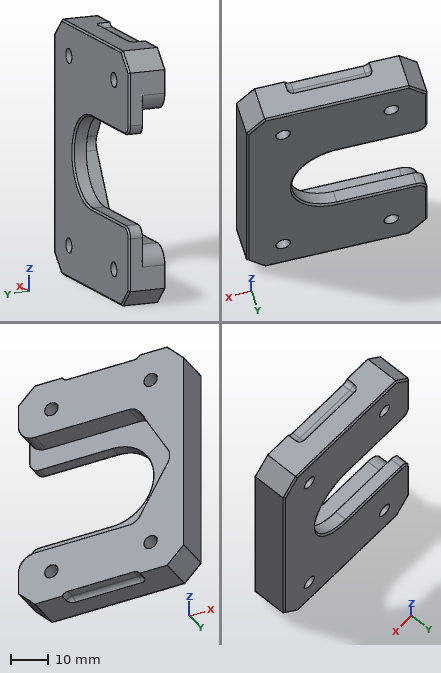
import cadquery as cq
import math

LENGTH = 50.0
THICKNESS = 10.5
HEIGHT = 70.0
CORNER_CHAMFER = 5.0
BACK_CHAMFER = 0.5

SLOT_RADIUS = 12.5
SLOT_MOUTH_FILLET = 3.0

RECESS_DEPTH = 6.5
HEX_APOTHEM = 18.55
HEX_CIRCUMRADIUS = HEX_APOTHEM / math.cos(math.radians(30))
HEX_FILLET = 4.0
RECESS_MOUTH_FILLET = 5.0

HOLE_DIAMETER = 4.0
HOLE_SPACING_X = 30.0
HOLE_SPACING_Z = 52.0

NOTCH_LENGTH = 24.0
NOTCH_REACH = 4.5
NOTCH_DEPTH = 1.0
NOTCH_FILLET = 2.0

FRONT_Y = -THICKNESS / 2
LEFT_X = -LENGTH / 2


def front_sketch():
    """XZ sketch plane on the front face; negative extrusion goes into the plate."""
    return cq.Workplane("XZ", origin=(0, FRONT_Y, 0))


def make_plate():
    plate = cq.Workplane("XY").box(LENGTH, THICKNESS, HEIGHT)
    return plate.edges("|Y").chamfer(CORNER_CHAMFER)


def mouth_relief(half_height, radius):
    """Outline of the corner that a rounded mouth edge removes at the upper side of an opening."""
    return (
        front_sketch()
        .moveTo(LEFT_X, half_height)
        .lineTo(LEFT_X, half_height + radius)
        .radiusArc((LEFT_X + radius, half_height), -radius)
        .close()
    )


def cut_opening(body, opening, half_height, mouth_fillet, depth):
    """Cut an opening and round both of its edges at the -X side."""
    relief = mouth_relief(half_height, mouth_fillet).extrude(-depth)
    return body.cut(opening).cut(relief).cut(relief.mirror("XY"))


def cut_slot(body):
    slot = (
        front_sketch()
        .moveTo(LEFT_X, SLOT_RADIUS)
        .lineTo(0, SLOT_RADIUS)
        .threePointArc((SLOT_RADIUS, 0), (0, -SLOT_RADIUS))
        .lineTo(LEFT_X, -SLOT_RADIUS)
        .close()
        .extrude(-THICKNESS)
    )
    return cut_opening(body, slot, SLOT_RADIUS, SLOT_MOUTH_FILLET, THICKNESS)


def cut_recess(body):
    shoulder_x = HEX_CIRCUMRADIUS / 2
    recess = (
        front_sketch()
        .moveTo(LEFT_X, HEX_APOTHEM)
        .lineTo(shoulder_x, HEX_APOTHEM)
        .lineTo(HEX_CIRCUMRADIUS, 0)
        .lineTo(shoulder_x, -HEX_APOTHEM)
        .lineTo(LEFT_X, -HEX_APOTHEM)
        .close()
        .extrude(-RECESS_DEPTH)
    )
    hexagon_corners = cq.selectors.BoxSelector(
        (0, -THICKNESS, -HEIGHT), (LENGTH, THICKNESS, HEIGHT)
    )
    recess = recess.edges("|Y").edges(hexagon_corners).fillet(HEX_FILLET)
    return cut_opening(body, recess, HEX_APOTHEM, RECESS_MOUTH_FILLET, RECESS_DEPTH)


def chamfer_back(body):
    """Break the whole back outline, slot included; the mounting holes stay sharp."""
    return body.faces(">Y").edges().chamfer(BACK_CHAMFER)


def drill_holes(body):
    holes = (
        front_sketch()
        .rarray(HOLE_SPACING_X, HOLE_SPACING_Z, 2, 2)
        .circle(HOLE_DIAMETER / 2)
        .extrude(-THICKNESS)
    )
    return body.cut(holes)


def cut_notches(body):
    block_height = 4 * NOTCH_FILLET
    notch = (
        cq.Workplane("XY")
        .box(NOTCH_LENGTH, 2 * NOTCH_REACH, block_height)
        .edges()
        .fillet(NOTCH_FILLET)
        .translate((0, FRONT_Y, HEIGHT / 2 - NOTCH_DEPTH + block_height / 2))
    )
    return body.cut(notch).cut(notch.mirror("XY"))


plate = make_plate()
plate = cut_slot(plate)
plate = cut_recess(plate)
plate = chamfer_back(plate)
plate = drill_holes(plate)
result = cut_notches(plate)